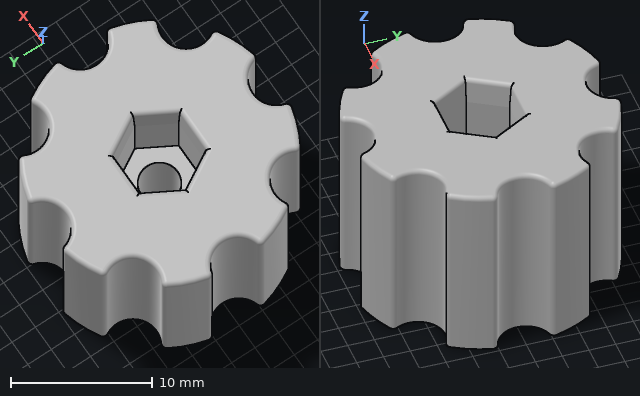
import cadquery as cq
import math

flute_count = 8
flute_radius = 2.0
edge_round = 0.4

overall_width = 19.44
height = 14.0
half_width = overall_width / 2
tip_setback = flute_radius**2 + 2 * flute_radius * edge_round
body_radius = (half_width + math.sqrt(half_width**2 + 2 * tip_setback)) / 2

seat_flats = 5.4
mouth_flats = 5.75
taper_depth = 2.0
pocket_depth = height / 2
mouth_round = 0.4
bolt_diameter = 3.1


def fluted_body():
    """Cylinder with round grip flutes and softened side and top edges."""
    flutes = (
        cq.Workplane("XY")
        .polarArray(body_radius, 0, 360, flute_count)
        .circle(flute_radius)
        .extrude(height)
    )
    body = cq.Workplane("XY").circle(body_radius).extrude(height).cut(flutes)
    return body.edges("|Z or >Z").fillet(edge_round)


def hexagon_corners(flats):
    """Corner-to-corner size of a regular hexagon from its size across flats."""
    return flats / math.cos(math.pi / 6)


def cut_nut_pocket(body):
    """Sink the hexagonal pocket, with its tapered lead-in, and round over its mouth."""
    nut_seat = (
        cq.Workplane("XY")
        .workplane(offset=height - pocket_depth)
        .polygon(6, hexagon_corners(seat_flats))
        .extrude(pocket_depth - taper_depth)
    )
    lead_in = (
        cq.Workplane("XY")
        .workplane(offset=height - taper_depth)
        .polygon(6, hexagon_corners(seat_flats))
        .workplane(offset=taper_depth)
        .polygon(6, hexagon_corners(mouth_flats))
        .loft(ruled=True)
    )
    pocketed = body.cut(nut_seat).cut(lead_in)
    mouth_edges = pocketed.faces(">Z").wires(cq.selectors.LengthNthSelector(0)).edges()
    return mouth_edges.fillet(mouth_round)


def cut_bolt_hole(body):
    """Drill the bolt hole along the axis, right through the body."""
    return body.cut(cq.Workplane("XY").circle(bolt_diameter / 2).extrude(height))


result = cut_bolt_hole(cut_nut_pocket(fluted_body()))